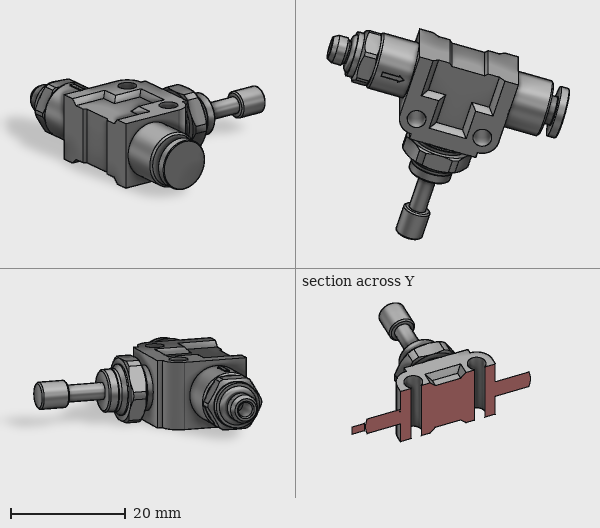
import cadquery as cq
import math


BLOCK_WIDTH = 18.0
BLOCK_THICKNESS = 12.0
BLOCK_FRONT = -5.5
OVERALL_LENGTH_Y = 35.39
SHOULDER_Y = 9.0
NECK_WIDTH = 12.1
NECK_Y = 9.95
SHOULDER_RADIUS = 3.0
MOUNT_HOLE_DIAMETER = 3.25

RECESS_DEPTH = 1.0
RECESS_STEM_HALF = 2.38
RECESS_BAR_HALF = 5.55
RECESS_STEM_Y = 6.0
RECESS_BAR_Y = 0.5
RECESS_OVERRUN = 2.0

CHANNEL_DEPTH = 0.5
CHANNEL_FLOOR_HALF = 3.0

BARREL_RADIUS = 5.0
BARREL_END_X = 15.7
BARREL_CHAMFER = 0.35

NUT_CHAMFER_SLOPE = math.tan(math.radians(30))
TUBE_NUT_FLATS = 9.0
TUBE_NUT_OUTER_X = -18.6
TUBE_NUT_RADIUS = 5.0
TUBE_NUT_CHAMFERS = (0.9, 0.4)
LOCK_NUT_FLATS = 11.0
LOCK_NUT_START_Y = 11.7
LOCK_NUT_END_Y = 14.6
LOCK_NUT_RADIUS = 6.0
LOCK_NUT_CHAMFERS = (0.5, 0.5)

COLLAR_START_X = -19.65
COLLAR_RADIUS = 4.0
BEAD_LENGTH = 0.7
BEAD_ROUND = 1.0
NIPPLE_TIP_X = -23.6
NIPPLE_RADIUS = 2.5
NIPPLE_TIP_RADIUS = 2.0
NIPPLE_TIP_TAPER = 0.9
NIPPLE_BACK_X = -21.1
NIPPLE_NECK_RADIUS = 2.0
NIPPLE_BORE_RADIUS = 1.3
NIPPLE_BORE_DEPTH = 5.0
NIPPLE_BORE_CHAMFER = 0.25

RELEASE_NECK_RADIUS = 2.55
RELEASE_FLARE_HEIGHT = 0.1
RELEASE_FLARE_LENGTH = 0.15
RELEASE_RADIUS = 4.5
RELEASE_START_X = 17.2
RELEASE_END_X = 18.7
RELEASE_CHAMFER = 0.15

SLEEVE_RADIUS = 4.0
SLEEVE_RIM_RADIUS = 4.2
SLEEVE_RIM_START_Y = 10.97
FLANGE_RADIUS = 4.5
FLANGE_START_Y = 11.15
FLANGE_END_Y = 14.86
RIM_RADIUS = 3.8
RIM_START_Y = 15.65
RIM_END_Y = 16.15
CAP_RADIUS = 3.75
CAP_START_Y = 16.28
CAP_END_Y = 17.95
STEM_RADIUS = 1.5
KNOB_RADIUS = 2.4
KNOB_START_Y = 24.8
KNOB_END_Y = BLOCK_FRONT + OVERALL_LENGTH_Y
TURNED_CHAMFER = 0.28

ARROW_TAIL_X = -14.2
ARROW_HEAD_X = -11.15
ARROW_TIP_X = -10.2
ARROW_SHAFT_HALF = 0.4
ARROW_HEAD_HALF = 0.65
ARROW_TOP_Z = 5.15


def turned(profile):
    """Solid of revolution about X from (station, radius) points."""
    points = [(profile[0][0], 0), *profile, (profile[-1][0], 0)]
    return cq.Workplane("XY").polyline(points).close().revolve(360, (0, 0, 0), (1, 0, 0))


def along_needle(solid):
    """Turn a solid built along +X so that it points along +Y."""
    return solid.rotate((0, 0, 0), (0, 0, 1), 90)


def hex_nut(start, end, flats, radius, chamfers):
    """Hexagon along X with flats facing Z and corners turned down to a radius.

    The chamfers are radial heights at the start and end faces.
    """
    first, last = chamfers
    blank = turned([
        (start, radius - first),
        (start + first * NUT_CHAMFER_SLOPE, radius),
        (end - last * NUT_CHAMFER_SLOPE, radius),
        (end, radius - last),
    ])
    prism = (
        cq.Workplane("YZ", origin=(start, 0, 0))
        .polygon(6, flats, circumscribed=True)
        .extrude(end - start)
        .rotate((0, 0, 0), (1, 0, 0), 30)
    )
    return blank.intersect(prism)


def block():
    """Block with rounded shoulders, neck pad, mounting holes, channel and recesses."""
    half = BLOCK_WIDTH / 2
    arc_center_x = half - SHOULDER_RADIUS
    arc_center_y = SHOULDER_Y - SHOULDER_RADIUS
    arc_mid = SHOULDER_RADIUS * math.sqrt(0.5)
    channel_edge = CHANNEL_FLOOR_HALF + CHANNEL_DEPTH
    channel_floor = BLOCK_FRONT + CHANNEL_DEPTH
    body = (
        cq.Workplane("XY", origin=(0, 0, -BLOCK_THICKNESS / 2))
        .moveTo(-half, BLOCK_FRONT)
        .lineTo(-channel_edge, BLOCK_FRONT)
        .lineTo(-CHANNEL_FLOOR_HALF, channel_floor)
        .lineTo(CHANNEL_FLOOR_HALF, channel_floor)
        .lineTo(channel_edge, BLOCK_FRONT)
        .lineTo(half, BLOCK_FRONT)
        .lineTo(half, arc_center_y)
        .threePointArc((arc_center_x + arc_mid, arc_center_y + arc_mid), (arc_center_x, SHOULDER_Y))
        .lineTo(-arc_center_x, SHOULDER_Y)
        .threePointArc((-arc_center_x - arc_mid, arc_center_y + arc_mid), (-half, arc_center_y))
        .close()
        .extrude(BLOCK_THICKNESS)
    )
    neck_pad = cq.Workplane("XY").box(NECK_WIDTH, NECK_Y, BLOCK_THICKNESS, centered=(True, False, True))
    holes = (
        cq.Workplane("XY", origin=(0, 0, -BLOCK_THICKNESS / 2))
        .pushPoints([(-arc_center_x, arc_center_y), (arc_center_x, arc_center_y)])
        .circle(MOUNT_HOLE_DIAMETER / 2)
        .extrude(BLOCK_THICKNESS)
    )
    recess = block_recess()
    return body.union(neck_pad).cut(holes).cut(recess).cut(recess.mirror("XY"))


def sloped_pocket(floor_half, floor_back_y):
    """Pocket in the +Z face with 45 degree walls, overrunning the front of the block."""
    open_end = BLOCK_FRONT - RECESS_OVERRUN
    length = floor_back_y - open_end
    return (
        cq.Workplane("XY", origin=(0, open_end + length / 2, BLOCK_THICKNESS / 2 - RECESS_DEPTH))
        .rect(2 * floor_half, length)
        .workplane(offset=RECESS_DEPTH)
        .rect(2 * (floor_half + RECESS_DEPTH), length + 2 * RECESS_DEPTH)
        .loft(ruled=True)
    )


def block_recess():
    """T-shaped recess in the +Z face, open at the front of the block."""
    stem = sloped_pocket(RECESS_STEM_HALF, RECESS_STEM_Y)
    bar = sloped_pocket(RECESS_BAR_HALF, RECESS_BAR_Y)
    return stem.union(bar)


def barrels():
    """Barrels on the -X and +X sides, starting at the faces of the block."""
    edge_radius = BARREL_RADIUS - BARREL_CHAMFER
    edge_x = BARREL_END_X - BARREL_CHAMFER
    barrel = turned([
        (BLOCK_WIDTH / 2, BARREL_RADIUS),
        (edge_x, BARREL_RADIUS),
        (BARREL_END_X, edge_radius),
    ])
    return barrel.union(barrel.mirror("YZ"))


def flow_arrow():
    """Arrow plate through the -X barrel that stands proud of it above and below."""
    outline = [
        (ARROW_TAIL_X, -ARROW_SHAFT_HALF),
        (ARROW_HEAD_X, -ARROW_SHAFT_HALF),
        (ARROW_HEAD_X, -ARROW_HEAD_HALF),
        (ARROW_TIP_X, 0),
        (ARROW_HEAD_X, ARROW_HEAD_HALF),
        (ARROW_HEAD_X, ARROW_SHAFT_HALF),
        (ARROW_TAIL_X, ARROW_SHAFT_HALF),
    ]
    return cq.Workplane("XY").polyline(outline).close().extrude(ARROW_TOP_Z, both=True)


def hose_nipple():
    """Nipple, rounded bead and collar in front of the tube nut.

    The bead is a torus segment whose centre circle has the nipple radius.
    """
    bead_face_x = COLLAR_START_X - BEAD_LENGTH
    bead_center_x = bead_face_x + BEAD_ROUND
    neck_x = NIPPLE_BACK_X + NIPPLE_RADIUS - NIPPLE_NECK_RADIUS
    arc_mid = BEAD_ROUND * math.sqrt(0.5)
    bead_offset = bead_center_x - COLLAR_START_X
    bead_end_radius = NIPPLE_RADIUS + math.sqrt(BEAD_ROUND**2 - bead_offset**2)
    return (
        cq.Workplane("XY")
        .moveTo(NIPPLE_TIP_X, 0)
        .lineTo(NIPPLE_TIP_X, NIPPLE_TIP_RADIUS)
        .lineTo(NIPPLE_TIP_X + NIPPLE_TIP_TAPER, NIPPLE_RADIUS)
        .lineTo(NIPPLE_BACK_X, NIPPLE_RADIUS)
        .lineTo(neck_x, NIPPLE_NECK_RADIUS)
        .lineTo(bead_face_x, NIPPLE_NECK_RADIUS)
        .lineTo(bead_face_x, NIPPLE_RADIUS)
        .threePointArc(
            (bead_center_x - arc_mid, NIPPLE_RADIUS + arc_mid),
            (COLLAR_START_X, bead_end_radius),
        )
        .lineTo(COLLAR_START_X, COLLAR_RADIUS)
        .lineTo(TUBE_NUT_OUTER_X, COLLAR_RADIUS)
        .lineTo(TUBE_NUT_OUTER_X, 0)
        .close()
        .revolve(360, (0, 0, 0), (1, 0, 0))
    )


def nipple_bore():
    """Blind bore with a chamfered mouth."""
    return turned([
        (NIPPLE_TIP_X, NIPPLE_BORE_RADIUS + NIPPLE_BORE_CHAMFER),
        (NIPPLE_TIP_X + NIPPLE_BORE_CHAMFER, NIPPLE_BORE_RADIUS),
        (NIPPLE_TIP_X + NIPPLE_BORE_DEPTH, NIPPLE_BORE_RADIUS),
    ])


def tube_nut():
    return hex_nut(TUBE_NUT_OUTER_X, -BARREL_END_X, TUBE_NUT_FLATS, TUBE_NUT_RADIUS, TUBE_NUT_CHAMFERS)


def release_collar():
    return turned([
        (BARREL_END_X, RELEASE_NECK_RADIUS),
        (RELEASE_START_X - RELEASE_FLARE_LENGTH, RELEASE_NECK_RADIUS),
        (RELEASE_START_X, RELEASE_NECK_RADIUS + RELEASE_FLARE_HEIGHT),
        (RELEASE_START_X, RELEASE_RADIUS),
        (RELEASE_END_X - RELEASE_CHAMFER, RELEASE_RADIUS),
        (RELEASE_END_X, RELEASE_RADIUS - RELEASE_CHAMFER),
    ])


def needle_stack():
    """Sleeve, flange, cap, stem and knob, one above the other."""
    return along_needle(turned([
        (NECK_Y, SLEEVE_RADIUS),
        (SLEEVE_RIM_START_Y, SLEEVE_RADIUS),
        (FLANGE_START_Y, SLEEVE_RIM_RADIUS),
        (FLANGE_START_Y, FLANGE_RADIUS),
        (FLANGE_END_Y, FLANGE_RADIUS),
        (RIM_START_Y, RIM_RADIUS),
        (RIM_END_Y, RIM_RADIUS),
        (CAP_START_Y, CAP_RADIUS),
        (CAP_END_Y - TURNED_CHAMFER, CAP_RADIUS),
        (CAP_END_Y, CAP_RADIUS - TURNED_CHAMFER),
        (CAP_END_Y, STEM_RADIUS),
        (KNOB_START_Y, STEM_RADIUS),
        (KNOB_START_Y, KNOB_RADIUS - TURNED_CHAMFER),
        (KNOB_START_Y + TURNED_CHAMFER, KNOB_RADIUS),
        (KNOB_END_Y - TURNED_CHAMFER, KNOB_RADIUS),
        (KNOB_END_Y, KNOB_RADIUS - TURNED_CHAMFER),
    ]))


def lock_nut():
    return along_needle(
        hex_nut(LOCK_NUT_START_Y, LOCK_NUT_END_Y, LOCK_NUT_FLATS, LOCK_NUT_RADIUS, LOCK_NUT_CHAMFERS)
    )


result = (
    block()
    .union(barrels())
    .union(flow_arrow())
    .union(tube_nut())
    .union(hose_nipple())
    .cut(nipple_bore())
    .union(release_collar())
    .union(needle_stack())
    .union(lock_nut())
)